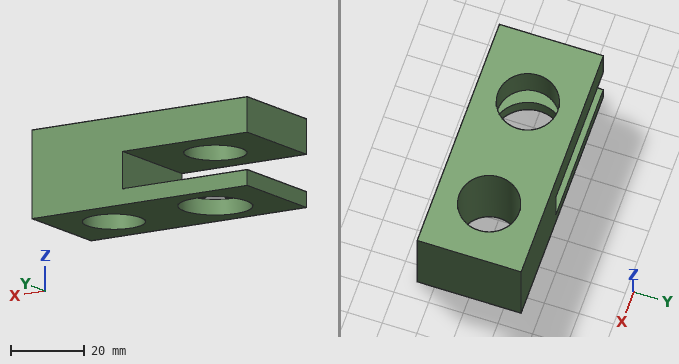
import cadquery as cq

length = 70.0
width = 30.0
height = 25.0

slot_depth = 40.45
upper_arm_thickness = 10.0
lower_arm_thickness = 4.5
slot_height = height - upper_arm_thickness - lower_arm_thickness

hole_diameter = 17.3
lower_arm_hole_diameter = 20.5
arm_hole_x = 20.0
solid_end_hole_x = 53.0


def vertical_hole(x, diameter, bottom, depth):
    """Cylinder to cut at the given X, on the centre line of the block."""
    return (
        cq.Workplane("XY", origin=(x, width / 2, bottom))
        .circle(diameter / 2)
        .extrude(depth)
    )


block = cq.Workplane("XY").box(length, width, height, centered=False)

slot = (
    cq.Workplane("XY", origin=(0, 0, lower_arm_thickness))
    .box(slot_depth, width, slot_height, centered=False)
)
result = block.cut(slot)

for hole_x in (arm_hole_x, solid_end_hole_x):
    result = result.cut(vertical_hole(hole_x, hole_diameter, 0, height))

result = result.cut(
    vertical_hole(arm_hole_x, lower_arm_hole_diameter, 0, lower_arm_thickness)
)